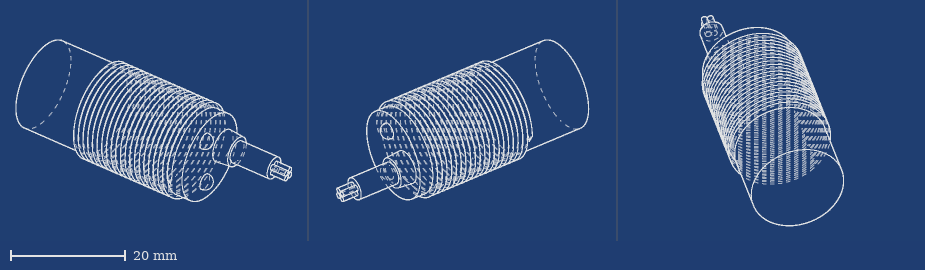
import cadquery as cq
import math

total_length = 49.5
body_length = 35.55
body_radius = 8.3

thread_radius = 18.25 / 2
thread_length = 20.5
thread_turns = 20.5
thread_pitch = thread_length / thread_turns
thread_start_x = 12.4
thread_flank_angle = 30
runout_angle = 15
root_overlap = 0.05
root_radius = body_radius - root_overlap
half_width = (thread_radius - root_radius) * math.tan(math.radians(thread_flank_angle))

cable_y = 4.0
gland_base_radius = 3.05
gland_tip_radius = 2.8
gland_length = 3.0
cable_radius = 2.1
cable_end_x = 46.5
wire_radius = 1.05 / 2
wire_offset = 0.55

dome_radius = 1.5
dome_y = -1.45
dome_z = 4.5


def rod(radius, start_x, end_x, y=0, z=0):
    """Cylinder parallel to X."""
    return cq.Workplane("YZ", origin=(start_x, y, z)).circle(radius).extrude(end_x - start_x)


def thread_point(radius, turn, x_shift=0):
    """Point beside the thread centreline, after a number of turns from its start."""
    angle = math.tau * turn
    x = thread_start_x + thread_pitch * turn + x_shift
    return cq.Vector(x, radius * math.cos(angle), radius * math.sin(angle))


def thread_runout(turn, direction):
    """Three-sided pyramid that fades the ridge end to a point on the housing."""
    base = [
        thread_point(root_radius, turn, -half_width),
        thread_point(thread_radius, turn),
        thread_point(root_radius, turn, half_width),
    ]
    tip = thread_point(root_radius, turn + direction * runout_angle / 360)
    outlines = [base] + [[base[i - 1], base[i], tip] for i in range(len(base))]
    faces = [cq.Face.makeFromWires(cq.Wire.makePolygon(points, close=True)) for points in outlines]
    return cq.Workplane(cq.Solid.makeSolid(cq.Shell.makeShell(faces)).fix())


def thread_ridge():
    """Helical ridge that starts on the +Y side and turns towards +Z."""
    helix = cq.Wire.makeHelix(
        thread_pitch,
        thread_length,
        root_radius,
        center=cq.Vector(0, 0, 0),
        dir=cq.Vector(0, 0, 1),
    )
    ridge = (
        cq.Workplane("XZ")
        .moveTo(root_radius, -half_width)
        .lineTo(thread_radius, 0)
        .lineTo(root_radius, half_width)
        .close()
        .sweep(cq.Workplane(helix), isFrenet=True)
    )
    axis_plane = cq.Plane(origin=(thread_start_x, 0, 0), xDir=(0, 1, 0), normal=(1, 0, 0))
    return cq.Workplane(ridge.val().moved(cq.Location(axis_plane)))


def cable_gland():
    """Tapered sleeve between the rear face and the cable."""
    return (
        cq.Workplane("YZ", origin=(body_length, cable_y, 0))
        .circle(gland_base_radius)
        .workplane(offset=gland_length)
        .circle(gland_tip_radius)
        .loft()
    )


def cable():
    """Cable jacket with four wires in a square pattern."""
    bundle = rod(cable_radius, body_length, cable_end_x, cable_y)
    for y_side in (-1, 1):
        for z_side in (-1, 1):
            wire_y = cable_y + y_side * wire_offset
            bundle = bundle.union(
                rod(wire_radius, cable_end_x, total_length, wire_y, z_side * wire_offset)
            )
    return bundle


def dome(z):
    """Half of this sphere stands out of the rear face."""
    return cq.Workplane("XY").sphere(dome_radius).translate((body_length, dome_y, z))


result = rod(body_radius, 0, body_length)
result = result.union(cable_gland()).union(cable())
for side in (-1, 1):
    result = result.union(dome(side * dome_z))
result = result.union(thread_ridge())
result = result.union(thread_runout(0, -1)).union(thread_runout(thread_turns, 1))